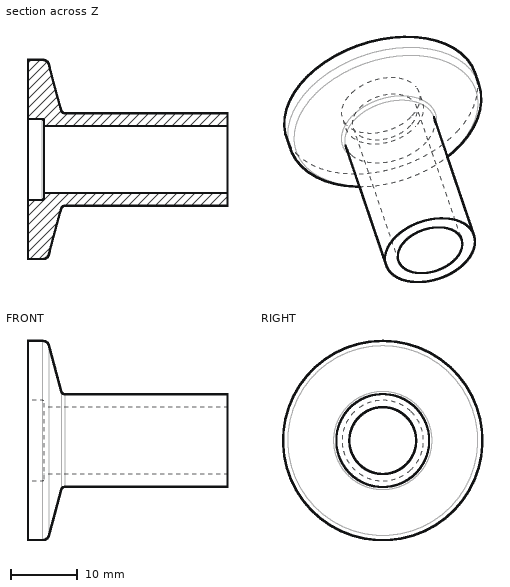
import cadquery as cq
import math

length = 30.0
flange_radius = 15.0
tube_radius = 7.0
bore_radius = 5.0
rim_width = 2.22
rim_round = 1.0
neck_round = 0.55
cone_angle = math.radians(15)

recess_radius = 6.1
recess_depth = 2.4
recess_floor_round = 0.3

cone_x = math.cos(cone_angle)
cone_r = math.sin(cone_angle)
mid_angle = (math.pi / 2 - cone_angle) / 2
arc_mid_x = math.sin(mid_angle)
arc_mid_r = math.cos(mid_angle)

rim_centre_r = flange_radius - rim_round
cone_start = (rim_width + rim_round * cone_x, rim_centre_r + rim_round * cone_r)

neck_centre_r = tube_radius + neck_round
cone_end_r = neck_centre_r - neck_round * cone_r
cone_end_x = cone_start[0] + (cone_start[1] - cone_end_r) * math.tan(cone_angle)
neck_centre_x = cone_end_x + neck_round * cone_x

half_section = (
    cq.Workplane("XZ")
    .moveTo(0, recess_radius)
    .lineTo(0, flange_radius)
    .lineTo(rim_width, flange_radius)
    .threePointArc(
        (rim_width + rim_round * arc_mid_x, rim_centre_r + rim_round * arc_mid_r),
        cone_start,
    )
    .lineTo(cone_end_x, cone_end_r)
    .threePointArc(
        (neck_centre_x - neck_round * arc_mid_x, neck_centre_r - neck_round * arc_mid_r),
        (neck_centre_x, tube_radius),
    )
    .lineTo(length, tube_radius)
    .lineTo(length, bore_radius)
    .lineTo(recess_depth, bore_radius)
    .lineTo(recess_depth, recess_radius - recess_floor_round)
    .radiusArc(
        (recess_depth - recess_floor_round, recess_radius), -recess_floor_round
    )
    .close()
)

result = half_section.revolve(360, (0, 0, 0), (1, 0, 0))